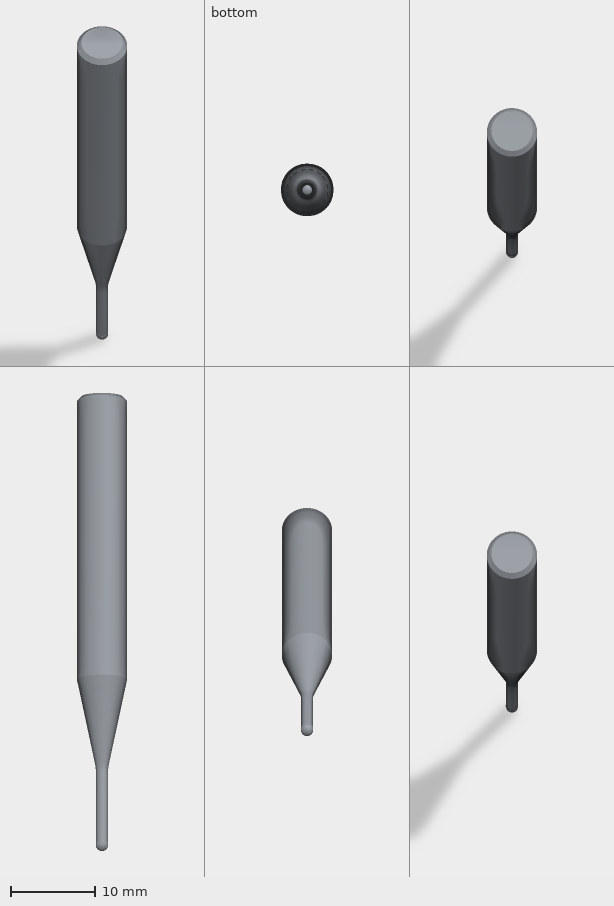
import cadquery as cq
import math

total_length = 55.0
shank_diameter = 6.0
end_chamfer = 0.55
shank_bottom = 20.8

cutter_diameter = 1.5
cutter_length = 1.1
neck_diameter = 1.45
neck_corner = 10.0
blend_reach = 0.65
taper_angle = 12.0

shank_radius = shank_diameter / 2
cutter_radius = cutter_diameter / 2
neck_radius = neck_diameter / 2
taper = math.radians(taper_angle)

blend_radius = blend_reach / math.tan(taper / 2)
blend_bottom = neck_corner - blend_reach

joint_angle = math.asin(blend_reach / blend_radius)


def blend_point(angle):
    """Point of the concave blend where its tangent leans by angle from the axis."""
    return (
        neck_radius + blend_radius * (1 - math.cos(angle)),
        blend_bottom + blend_radius * math.sin(angle),
    )


def revolve_about_axis(profile):
    """Turn a closed (radius, height) profile about the Z axis."""
    return profile.close().revolve(360, (0, 0), (0, 1))


def make_cutting_head():
    """Ball-nosed cutter and its slim neck, up to the joint inside the blend."""
    nose_angle = math.radians(45)
    nose_middle = (
        cutter_radius * math.sin(nose_angle),
        cutter_radius * (1 - math.cos(nose_angle)),
    )
    profile = (
        cq.Workplane("XZ")
        .threePointArc(nose_middle, (cutter_radius, cutter_radius))
        .lineTo(cutter_radius, cutter_length)
        .lineTo(neck_radius, cutter_length)
        .lineTo(neck_radius, blend_bottom)
        .threePointArc(blend_point(joint_angle / 2), blend_point(joint_angle))
        .lineTo(0, neck_corner)
    )
    return revolve_about_axis(profile)


def make_shank():
    """Upper part of the blend, the taper and the cylindrical, chamfered shank."""
    profile = (
        cq.Workplane("XZ")
        .moveTo(0, neck_corner)
        .lineTo(*blend_point(joint_angle))
        .threePointArc(blend_point((joint_angle + taper) / 2), blend_point(taper))
        .lineTo(shank_radius, shank_bottom)
        .lineTo(shank_radius, total_length - end_chamfer)
        .lineTo(shank_radius - end_chamfer, total_length)
        .lineTo(0, total_length)
    )
    return revolve_about_axis(profile)


cutting_head = make_cutting_head()
shank = make_shank()

result = cq.Compound.makeCompound([cutting_head.val(), shank.val()])